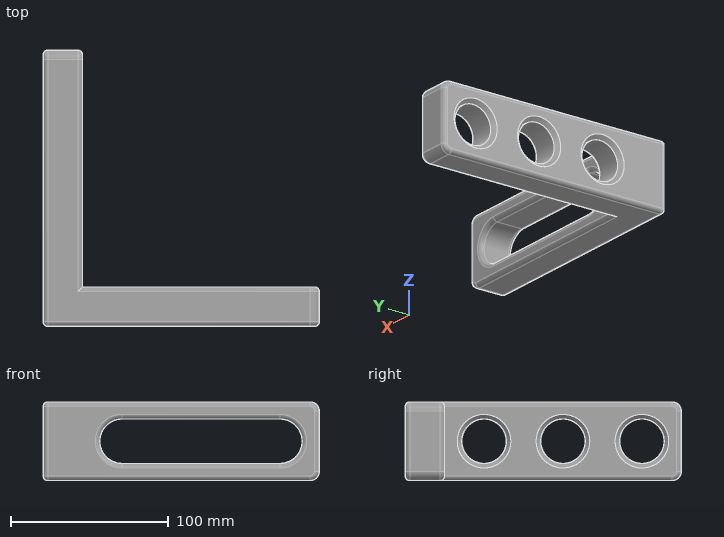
import cadquery as cq

leg_length = 175.0
height = leg_length * 2 / 7
thickness = height / 2
edge_radius = 3.0
hole_chamfer = edge_radius
end_corner_radius = 6.0
hole_radius = 14.0
hole_pitch = height
hole_count = 3

mid_height = height / 2
last_center = leg_length - height / 2
slot_start = height
slot_center = (slot_start + last_center) / 2
slot_length = last_center - slot_start + 2 * hole_radius


def make_angle():
    """L-shaped body with its outer corner on the Z axis."""
    body = (
        cq.Workplane("XY")
        .lineTo(leg_length, 0)
        .lineTo(leg_length, thickness)
        .lineTo(thickness, thickness)
        .lineTo(thickness, leg_length)
        .lineTo(0, leg_length)
        .close()
        .extrude(height)
    )
    body = body.faces(">X").edges("|Y").fillet(end_corner_radius)
    return body.faces(">Y").edges("|X").fillet(end_corner_radius)


def cut_slot(body):
    """Long slot through the leg along X."""
    slot = (
        cq.Workplane("XZ")
        .center(slot_center, mid_height)
        .slot2D(slot_length, 2 * hole_radius)
        .extrude(-thickness)
    )
    return body.cut(slot)


def cut_holes(body):
    """Row of round holes through the leg along Y."""
    centers = [(last_center - i * hole_pitch, mid_height) for i in range(hole_count)]
    holes = cq.Workplane("YZ").pushPoints(centers).circle(hole_radius).extrude(thickness)
    return body.cut(holes)


def chamfer_holes(body):
    """Chamfer both rims of every round hole."""
    circles = body.faces("|X").edges("%CIRCLE").vals()
    rims = [edge for edge in circles if edge.IsClosed()]
    return body.newObject(rims).chamfer(hole_chamfer)


def round_edges(body):
    """Round the leg outlines and slot rims; the concave corner stays sharp."""
    outer_edges = body.faces("<X or <Y").edges().vals()
    inner_faces = body.faces("|X or |Y").faces("not(<X or >X or <Y or >Y)")
    concave_corner = inner_faces.edges("|Z").edges(
        cq.NearestToPointSelector((thickness, thickness, mid_height))
    )
    inner_edges = inner_faces.edges().objects
    rounded = [edge for edge in inner_edges if not edge.isSame(concave_corner.val())]
    return body.newObject(outer_edges + rounded).fillet(edge_radius)


angle = round_edges(cut_slot(make_angle()))
result = chamfer_holes(cut_holes(angle))